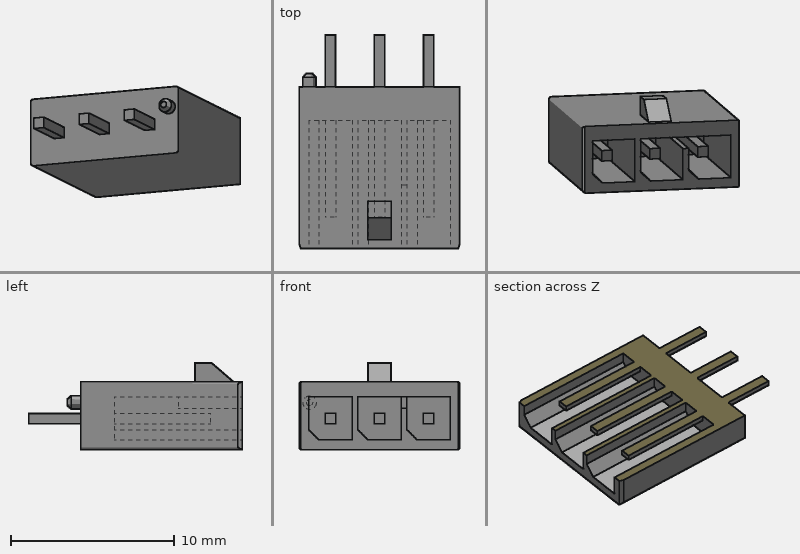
import cadquery as cq

TOTAL_LENGTH = 13.09
BODY_WIDTH = 9.85
BODY_LENGTH = 9.91
BODY_HEIGHT = 4.18
EDGE_RADIUS = 0.18
FRONT_BEVEL_WIDTH = 0.09
FRONT_BEVEL_LENGTH = 0.27

CONTACT_COUNT = 3
PITCH = 3.01
CONTACT_X = [(i - (CONTACT_COUNT - 1) / 2) * PITCH for i in range(CONTACT_COUNT)]

CAVITY_SIZE = 2.66
CAVITY_BOTTOM = 0.6
CAVITY_TOP = CAVITY_BOTTOM + CAVITY_SIZE
CAVITY_CORNER = 0.63
CAVITY_DEPTH = 7.85
NOTCH_HEIGHT = 0.72
NOTCH_DEPTH = 3.93

PIN_SIZE = 0.65
PIN_START = 1.96
PIN_Z = 1.91

LATCH_WIDTH = 1.41
LATCH_HEIGHT = 1.15
LATCH_FRONT = 0.55
LATCH_CREST = 1.88
LATCH_BACK = 2.9

PEG_DIAMETER = 0.82
PEG_LENGTH = 0.82
PEG_SIDE_OFFSET = 0.63
PEG_Z = 2.9
PEG_TIP_LENGTH = 0.25
PEG_TIP_INSET = 0.22


def box_at(x_min, y_min, z_min, width, length, height):
    """Box placed by its lowest corner."""
    box = cq.Workplane("XY").box(width, length, height, centered=False)
    return box.translate((x_min, y_min, z_min))


def housing():
    """Block with rounded long edges and beveled front side edges."""
    half = BODY_WIDTH / 2
    face_half = half - FRONT_BEVEL_WIDTH
    outline = [
        (-face_half, 0),
        (face_half, 0),
        (half, FRONT_BEVEL_LENGTH),
        (half, BODY_LENGTH),
        (-half, BODY_LENGTH),
        (-half, FRONT_BEVEL_LENGTH),
    ]
    plan = cq.Workplane("XY").polyline(outline).close().extrude(BODY_HEIGHT)
    rounded = box_at(-half, 0, 0, BODY_WIDTH, BODY_LENGTH, BODY_HEIGHT)
    rounded = rounded.edges("|Y").fillet(EDGE_RADIUS)
    return plan.intersect(rounded)


def cavity(x):
    """Square pocket with its lower left corner cut off."""
    left = x - CAVITY_SIZE / 2
    right = x + CAVITY_SIZE / 2
    profile = [
        (left, CAVITY_TOP),
        (right, CAVITY_TOP),
        (right, CAVITY_BOTTOM),
        (left + CAVITY_CORNER, CAVITY_BOTTOM),
        (left, CAVITY_BOTTOM + CAVITY_CORNER),
    ]
    return cq.Workplane("XZ").polyline(profile).close().extrude(-CAVITY_DEPTH)


def wall_notch():
    """Cut along the front part of the top of the wall between the last two cavities."""
    left = CONTACT_X[-2] + CAVITY_SIZE / 2
    wall = PITCH - CAVITY_SIZE
    return box_at(left, 0, CAVITY_TOP - NOTCH_HEIGHT, wall, NOTCH_DEPTH, NOTCH_HEIGHT)


def pin(x):
    """Square pin from inside the cavity to beyond the rear face."""
    half = PIN_SIZE / 2
    return box_at(x - half, PIN_START, PIN_Z - half, PIN_SIZE, TOTAL_LENGTH - PIN_START, PIN_SIZE)


def latch():
    """Wedge rising from the front to a flat crest."""
    top = BODY_HEIGHT + LATCH_HEIGHT
    profile = [
        (LATCH_FRONT, BODY_HEIGHT),
        (LATCH_CREST, top),
        (LATCH_BACK, top),
        (LATCH_BACK, BODY_HEIGHT),
    ]
    return cq.Workplane("YZ").polyline(profile).close().extrude(LATCH_WIDTH / 2, both=True)


def peg():
    """Round peg with a conical tip."""
    x = PEG_SIDE_OFFSET - BODY_WIDTH / 2
    shape = cq.Workplane("XZ").circle(PEG_DIAMETER / 2).extrude(-PEG_LENGTH)
    shape = shape.faces(">Y").chamfer(PEG_TIP_LENGTH, PEG_TIP_INSET)
    return shape.translate((x, BODY_LENGTH, PEG_Z))


result = housing()
for contact_x in CONTACT_X:
    result = result.cut(cavity(contact_x))
result = result.cut(wall_notch())
for contact_x in CONTACT_X:
    result = result.union(pin(contact_x))
result = result.union(latch()).union(peg())